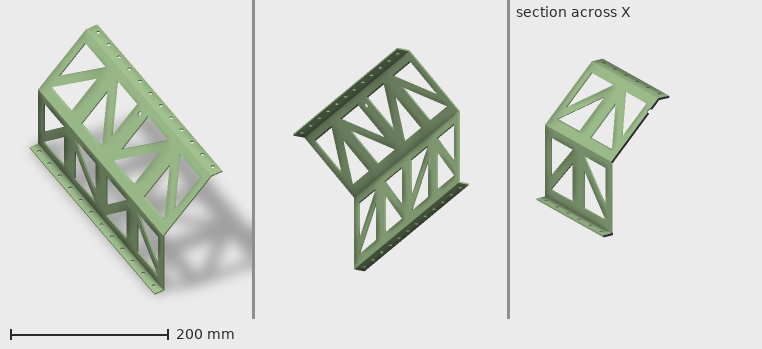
import cadquery as cq
import math

LENGTH = 304.8
DEPTH = 100.46
HEIGHT = 170.62
SHEET = 2.05
BEND_RADIUS = 0.635

SLOPE_ANGLE = math.radians(45)
BOTTOM_FLANGE = 12.7
SLOPE_RISE = 70.92
SLOPE_RUN = SLOPE_RISE / math.tan(SLOPE_ANGLE)
BEND_OFFSET = SHEET * math.tan(SLOPE_ANGLE / 2)
BEND_TANGENT = BEND_RADIUS * math.tan(SLOPE_ANGLE / 2)

UPRIGHT_FRONT = BOTTOM_FLANGE
SLOPE_BOTTOM_Z = HEIGHT - SLOPE_RISE
SLOPE_TOP_Y = UPRIGHT_FRONT + SLOPE_RUN
SLOPE_LENGTH = math.hypot(SLOPE_RUN, SLOPE_RISE)

BAYS = 4
BAY_PITCH = LENGTH / BAYS
WINDOW_MARGIN = 12.7
WINDOW_WIDTH = BAY_PITCH - 2 * WINDOW_MARGIN
STRUT_WIDTH = 12.7

FLANGE_HOLE_DIAMETER = 4.98
FLANGE_HOLE_COUNT = 12
FLANGE_HOLE_PITCH = LENGTH / FLANGE_HOLE_COUNT
FLANGE_HOLE_EDGE = 6.35
SLOPE_HOLE_DIAMETER = 6.35
SLOPE_HOLE_FROM_TOP = 19.05

CUT_HALF_DEPTH = 2 * SHEET


def bent_sheet():
    """Constant-thickness profile in YZ, extruded along X, with every bend rounded."""
    upright_back = UPRIGHT_FRONT + SHEET
    bends = [
        ((UPRIGHT_FRONT, SHEET), (upright_back, 0)),
        ((upright_back, SLOPE_BOTTOM_Z - BEND_OFFSET), (UPRIGHT_FRONT, SLOPE_BOTTOM_Z)),
        ((SLOPE_TOP_Y + BEND_OFFSET, HEIGHT - SHEET), (SLOPE_TOP_Y, HEIGHT)),
    ]
    (inner_low, outer_low), (inner_mid, outer_mid), (inner_top, outer_top) = bends
    back_face = [(0, 0), outer_low, inner_mid, inner_top, (DEPTH, HEIGHT - SHEET)]
    front_face = [(DEPTH, HEIGHT), outer_top, outer_mid, inner_low, (0, SHEET)]
    sheet = cq.Workplane("YZ").polyline(back_face + front_face).close().extrude(LENGTH)
    for inside, outside in bends:
        sheet = round_corner(sheet, inside)
        sheet = round_corner(sheet, outside)
    return sheet


def round_corner(sheet, corner):
    """Round the lengthwise edge that runs through one (y, z) corner of the profile."""
    y, z = corner
    edge = cq.selectors.NearestToPointSelector((LENGTH / 2, y, z))
    return sheet.edges("|X").edges(edge).fillet(BEND_RADIUS)


def strut_rise(window_height):
    """Height of a strut measured along the window side.

    With w the window width, s the strut width and r the rise, the strut edges climb
    (window_height - r) over w, so r = s * sqrt(1 + ((window_height - r) / w) ** 2).
    Squaring gives the quadratic a * r**2 + b * r + c = 0 solved here.
    """
    ratio = (STRUT_WIDTH / WINDOW_WIDTH) ** 2
    a = 1 - ratio
    b = 2 * ratio * window_height
    c = -(STRUT_WIDTH**2 + ratio * window_height**2)
    return (-b + math.sqrt(b**2 - 4 * a * c)) / (2 * a)


def truss_cutter(bottom, top, rise):
    """Horizontal cutter, along Y, for the pair of triangles in each bay.

    The struts between the triangles lean alternately right and left.
    """
    cutter = cq.Workplane("XZ")
    for bay in range(BAYS):
        left = bay * BAY_PITCH + WINDOW_MARGIN
        right = left + WINDOW_WIDTH
        low_x, high_x = (left, right) if bay % 2 == 0 else (right, left)
        upper = [(low_x, top), (high_x, top), (low_x, bottom + rise)]
        lower = [(low_x, bottom), (high_x, bottom), (high_x, top - rise)]
        for triangle in (upper, lower):
            cutter = cutter.polyline(triangle).close()
    return cutter.extrude(-DEPTH)


def flange_hole_cutter():
    """Rows of holes through both flanges, running the whole height."""
    points = []
    for index in range(FLANGE_HOLE_COUNT):
        x = FLANGE_HOLE_PITCH / 2 + index * FLANGE_HOLE_PITCH
        points.append((x, FLANGE_HOLE_EDGE))
        points.append((x, DEPTH - FLANGE_HOLE_EDGE))
    return cq.Workplane("XY").pushPoints(points).circle(FLANGE_HOLE_DIAMETER / 2).extrude(HEIGHT)


def slope_hole_cutter(plane):
    """Single hole at mid-length near the top of the sloped panel."""
    center = (LENGTH / 2, SLOPE_LENGTH - BEND_TANGENT - SLOPE_HOLE_FROM_TOP)
    hole = cq.Workplane(plane).pushPoints([center]).circle(SLOPE_HOLE_DIAMETER / 2)
    return hole.extrude(CUT_HALF_DEPTH, both=True)


slope_plane = cq.Plane(
    origin=(0, UPRIGHT_FRONT, SLOPE_BOTTOM_Z),
    xDir=(1, 0, 0),
    normal=(0, -math.sin(SLOPE_ANGLE), math.cos(SLOPE_ANGLE)),
)

upright_bottom = SHEET + BEND_RADIUS + WINDOW_MARGIN
upright_top = SLOPE_BOTTOM_Z - BEND_TANGENT - WINDOW_MARGIN
upright_strut = strut_rise(upright_top - upright_bottom)
upright_windows = truss_cutter(upright_bottom, upright_top, upright_strut)

projection = math.sin(SLOPE_ANGLE)
slope_margin = (WINDOW_MARGIN + BEND_TANGENT) * projection
slope_bottom = SLOPE_BOTTOM_Z + slope_margin
slope_top = HEIGHT - slope_margin
slope_strut = strut_rise((slope_top - slope_bottom) / projection) * projection
slope_windows = truss_cutter(slope_bottom, slope_top, slope_strut)

result = bent_sheet()
result = result.cut(upright_windows)
result = result.cut(slope_windows)
result = result.cut(flange_hole_cutter())
result = result.cut(slope_hole_cutter(slope_plane))